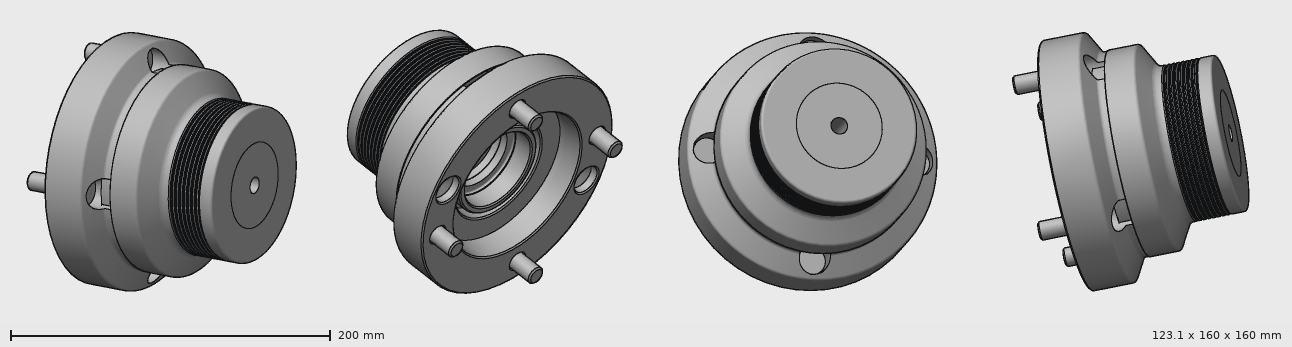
import cadquery as cq
import math

TOTAL_LENGTH = 105.1
FULL_TURN = 360.0
EDGE_CHAMFER = 1.0
FINE_CHAMFER = 0.3
CONE_ANGLE = 60.0
CONE_SLOPE = math.tan(math.radians(CONE_ANGLE))

FLANGE_RADIUS = 80.0
FLANGE_RIM_LENGTH = 27.0
NECK_RADIUS = 65.6
NECK_END = 39.7
RIM_FILLET = 2.4
NECK_FILLET = 1.8
RECESS_MOUTH_RADIUS = 53.1
RECESS_FLOOR_RADIUS = 51.7
RECESS_TAPER_DEPTH = 13.5
RECESS_DEPTH = 18.0
FLANGE_BORE_RADIUS = 35.8

BOLT_CIRCLE_RADIUS = 66.7
SCREW_COUNT = 4
SCREW_ANGLES = [i * FULL_TURN / SCREW_COUNT for i in range(SCREW_COUNT)]
SHANK_DIAMETER = 12.0
SHANK_RADIUS = SHANK_DIAMETER / 2
SHANK_PROTRUSION = 18.0
SHANK_TIP_CHAMFER = 1.1
SHANK_HOLE_RADIUS = 6.9
HEAD_RADIUS = 9.0
HEAD_LENGTH = 12.0
HEAD_SEAT = 12.0
HEAD_BORE_RADIUS = 10.0

DRIVE_HOLE_RADIUS = 9.6
DRIVE_HOLE_DEPTH = 6.4
DRIVE_HOLE_ANGLE = 30.0
DRILL_POINT_ANGLE = 118.0

SPIGOT_START = 31.0
SPIGOT_RADIUS = 62.4
COLLAR_RADIUS = 66.0
COLLAR_END = 59.2
COLLAR_FILLET = 2.4
THREAD_RADIUS = 50.0
THREAD_FILLET = 4.2
END_FILLET = 1.6
COUNTERBORE_RADIUS = 27.5
COUNTERBORE_FLOOR = 34.9
COUNTERBORE_FILLET = 0.8
SLEEVE_BORE_RADIUS = 22.2

GROOVE_COUNT = 8
GROOVE_SPAN = 21.0
GROOVE_PITCH = GROOVE_SPAN / (GROOVE_COUNT - 1)
FIRST_GROOVE = 74.0
GROOVE_WIDTH = 2.2
GROOVE_FLOOR_WIDTH = 0.6
GROOVE_DEPTH = 0.6

NOSE_START = RECESS_DEPTH
NOSE_END = 32.8
NOSE_RADIUS = 32.3
NOSE_BORE_RADIUS = COUNTERBORE_RADIUS

PLUG_START = 40.5
PLUG_RADIUS = COUNTERBORE_RADIUS
PLUG_RECESS_RADIUS = 22.0
PLUG_RECESS_FLOOR = 45.8
CENTRE_HOLE_RADIUS = 5.3


def turned(points):
    """Solid of revolution about X from (x, radius) points."""
    return cq.Workplane("XZ").polyline(points).close().revolve(FULL_TURN, (0, 0), (1, 0))


def rod(start, end, radius, y, z):
    """Cylinder parallel to X."""
    return cq.Workplane("YZ", origin=(start, y, z)).circle(radius).extrude(end - start)


def fillet_rim(body, x, radius, fillet):
    """Round the circular edge at the given place along X and radius."""
    tolerance = 0.02
    rims = [
        edge
        for edge in body.edges("%CIRCLE").vals()
        if abs(edge.Center().x - x) < tolerance and abs(edge.radius() - radius) < tolerance
    ]
    return body.newObject(rims).fillet(fillet)


def on_bolt_circle(angle):
    """Y and Z of a point on the bolt circle, with the angle in degrees from +Y towards +Z."""
    turn = math.radians(angle)
    return BOLT_CIRCLE_RADIUS * math.cos(turn), BOLT_CIRCLE_RADIUS * math.sin(turn)


def drive_hole(angle):
    """Chamfered blind hole with a drill point."""
    y, z = on_bolt_circle(angle)
    point_depth = DRIVE_HOLE_RADIUS / math.tan(math.radians(DRILL_POINT_ANGLE / 2))
    profile = [
        (0, 0),
        (0, DRIVE_HOLE_RADIUS + EDGE_CHAMFER),
        (EDGE_CHAMFER, DRIVE_HOLE_RADIUS),
        (DRIVE_HOLE_DEPTH, DRIVE_HOLE_RADIUS),
        (DRIVE_HOLE_DEPTH + point_depth, 0),
    ]
    return turned(profile).translate((0, y, z))


def make_flange():
    neck_start = FLANGE_RIM_LENGTH + (FLANGE_RADIUS - NECK_RADIUS) / CONE_SLOPE
    flange = turned([
        (0, RECESS_MOUTH_RADIUS + EDGE_CHAMFER),
        (0, FLANGE_RADIUS - EDGE_CHAMFER),
        (EDGE_CHAMFER, FLANGE_RADIUS),
        (FLANGE_RIM_LENGTH, FLANGE_RADIUS),
        (neck_start, NECK_RADIUS),
        (NECK_END, NECK_RADIUS),
        (NECK_END, SPIGOT_RADIUS),
        (SPIGOT_START, SPIGOT_RADIUS),
        (SPIGOT_START, FLANGE_BORE_RADIUS),
        (RECESS_DEPTH + EDGE_CHAMFER, FLANGE_BORE_RADIUS),
        (RECESS_DEPTH, FLANGE_BORE_RADIUS + EDGE_CHAMFER),
        (RECESS_DEPTH, RECESS_FLOOR_RADIUS),
        (RECESS_TAPER_DEPTH, RECESS_FLOOR_RADIUS),
        (EDGE_CHAMFER, RECESS_MOUTH_RADIUS),
    ])
    flange = fillet_rim(flange, FLANGE_RIM_LENGTH, FLANGE_RADIUS, RIM_FILLET)
    flange = fillet_rim(flange, neck_start, NECK_RADIUS, NECK_FILLET)
    for angle in SCREW_ANGLES:
        y, z = on_bolt_circle(angle)
        flange = flange.cut(rod(0, HEAD_SEAT, SHANK_HOLE_RADIUS, y, z))
        flange = flange.cut(rod(HEAD_SEAT, NECK_END, HEAD_BORE_RADIUS, y, z))
    for angle in (DRIVE_HOLE_ANGLE, DRIVE_HOLE_ANGLE + FULL_TURN / 2):
        flange = flange.cut(drive_hole(angle))
    return flange


def make_screw(angle):
    y, z = on_bolt_circle(angle)
    screw = turned([
        (-SHANK_PROTRUSION, 0),
        (-SHANK_PROTRUSION, SHANK_RADIUS - SHANK_TIP_CHAMFER),
        (SHANK_TIP_CHAMFER - SHANK_PROTRUSION, SHANK_RADIUS),
        (HEAD_SEAT, SHANK_RADIUS),
        (HEAD_SEAT, HEAD_RADIUS),
        (HEAD_SEAT + HEAD_LENGTH, HEAD_RADIUS),
        (HEAD_SEAT + HEAD_LENGTH, 0),
    ])
    return screw.translate((0, y, z))


def groove(x):
    """Ring with sloping sides to cut from the threaded end."""
    floor_radius = THREAD_RADIUS - GROOVE_DEPTH
    return turned([
        (x - GROOVE_WIDTH / 2, THREAD_RADIUS),
        (x - GROOVE_FLOOR_WIDTH / 2, floor_radius),
        (x + GROOVE_FLOOR_WIDTH / 2, floor_radius),
        (x + GROOVE_WIDTH / 2, THREAD_RADIUS),
    ])


def make_sleeve():
    thread_start = COLLAR_END + (COLLAR_RADIUS - THREAD_RADIUS) / CONE_SLOPE
    sleeve = turned([
        (NOSE_END, COUNTERBORE_RADIUS + FINE_CHAMFER),
        (NOSE_END, NOSE_RADIUS),
        (SPIGOT_START, NOSE_RADIUS),
        (SPIGOT_START, SPIGOT_RADIUS),
        (NECK_END, SPIGOT_RADIUS),
        (NECK_END, COLLAR_RADIUS - FINE_CHAMFER),
        (NECK_END + FINE_CHAMFER, COLLAR_RADIUS),
        (COLLAR_END, COLLAR_RADIUS),
        (thread_start, THREAD_RADIUS),
        (TOTAL_LENGTH, THREAD_RADIUS),
        (TOTAL_LENGTH, PLUG_RADIUS),
        (PLUG_START, PLUG_RADIUS),
        (PLUG_START, SLEEVE_BORE_RADIUS),
        (COUNTERBORE_FLOOR, SLEEVE_BORE_RADIUS),
        (COUNTERBORE_FLOOR, COUNTERBORE_RADIUS),
        (NOSE_END + FINE_CHAMFER, COUNTERBORE_RADIUS),
    ])
    sleeve = fillet_rim(sleeve, COLLAR_END, COLLAR_RADIUS, COLLAR_FILLET)
    sleeve = fillet_rim(sleeve, thread_start, THREAD_RADIUS, THREAD_FILLET)
    sleeve = fillet_rim(sleeve, TOTAL_LENGTH, THREAD_RADIUS, END_FILLET)
    sleeve = fillet_rim(sleeve, COUNTERBORE_FLOOR, COUNTERBORE_RADIUS, COUNTERBORE_FILLET)
    for i in range(GROOVE_COUNT):
        sleeve = sleeve.cut(groove(FIRST_GROOVE + i * GROOVE_PITCH))
    return sleeve


def make_nose_ring():
    return turned([
        (NOSE_START, NOSE_BORE_RADIUS + EDGE_CHAMFER),
        (NOSE_START, NOSE_RADIUS - EDGE_CHAMFER),
        (NOSE_START + EDGE_CHAMFER, NOSE_RADIUS),
        (NOSE_END, NOSE_RADIUS),
        (NOSE_END, NOSE_BORE_RADIUS + FINE_CHAMFER),
        (NOSE_END - FINE_CHAMFER, NOSE_BORE_RADIUS),
        (NOSE_START + EDGE_CHAMFER, NOSE_BORE_RADIUS),
    ])


def make_plug():
    return turned([
        (PLUG_START, PLUG_RECESS_RADIUS),
        (PLUG_START, PLUG_RADIUS),
        (TOTAL_LENGTH, PLUG_RADIUS),
        (TOTAL_LENGTH, CENTRE_HOLE_RADIUS),
        (PLUG_RECESS_FLOOR, CENTRE_HOLE_RADIUS),
        (PLUG_RECESS_FLOOR, PLUG_RECESS_RADIUS),
    ])


flange = make_flange()
sleeve = make_sleeve()
nose_ring = make_nose_ring()
plug = make_plug()
screws = [make_screw(angle) for angle in SCREW_ANGLES]

result = cq.Compound.makeCompound(
    [flange.val(), sleeve.val(), nose_ring.val(), plug.val(), *[screw.val() for screw in screws]]
)